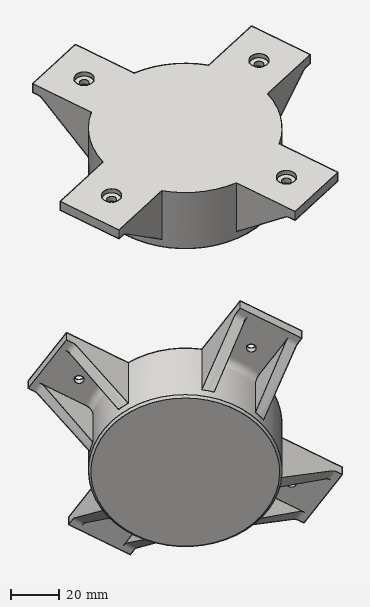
import cadquery as cq
import math

overall_span = 134.2
body_radius = 40.0
body_height = 32.0
bottom_chamfer = 1.0
arm_width = 30.0
plate_thickness = 5.0
rib_thickness = 5.0
rib_height = 27.1
rib_end_inset = 4.0
root_fillet = 3.2
hole_offset = 51.7
hole_diameter = 4.0
counterbore_diameter = 8.3
counterbore_depth = 2.3
arm_count = 4

arm_end = overall_span / 2
half_arm = arm_width / 2
half_gap = half_arm - rib_thickness
plate_bottom = body_height - plate_thickness
rib_foot = body_height - rib_height
rib_tip = arm_end - rib_end_inset
overlap_start = body_radius / 2


def make_body():
    """Round solid hub with a chamfered bottom edge."""
    return cq.Workplane("XY").circle(body_radius).extrude(body_height).faces("<Z").chamfer(bottom_chamfer)


def make_plate():
    """Flat arm pointing along +X, flush with the top of the hub."""
    return (
        cq.Workplane("XY", origin=(0, 0, plate_bottom))
        .center((overlap_start + arm_end) / 2, 0)
        .rect(arm_end - overlap_start, arm_width)
        .extrude(plate_thickness)
    )


def rib_profile(y):
    """Rib section at distance y from the arm axis, sloping from the hub wall and blending into the plate."""
    root = math.sqrt(body_radius**2 - y**2)
    slope = math.atan2(plate_bottom - rib_foot, rib_tip - root)
    blend_length = root_fillet * math.tan(slope / 2)
    blend_end = rib_tip + blend_length
    arc_center_z = plate_bottom - root_fillet

    blend_start_point = cq.Vector(
        rib_tip - blend_length * math.cos(slope), y, plate_bottom - blend_length * math.sin(slope)
    )
    blend_middle_point = cq.Vector(
        blend_end - root_fillet * math.sin(slope / 2), y, arc_center_z + root_fillet * math.cos(slope / 2)
    )
    blend_end_point = cq.Vector(blend_end, y, plate_bottom)
    inner_top = cq.Vector(overlap_start, y, plate_bottom)
    inner_foot = cq.Vector(overlap_start, y, rib_foot)
    outer_foot = cq.Vector(root, y, rib_foot)
    return cq.Wire.assembleEdges([
        cq.Edge.makeLine(inner_top, inner_foot),
        cq.Edge.makeLine(inner_foot, outer_foot),
        cq.Edge.makeLine(outer_foot, blend_start_point),
        cq.Edge.makeThreePointArc(blend_start_point, blend_middle_point, blend_end_point),
        cq.Edge.makeLine(blend_end_point, inner_top),
    ])


def make_rib():
    """Rib under the +Y side of the arm, with a slightly twisted sloping face."""
    return cq.Solid.makeLoft([rib_profile(half_gap), rib_profile(half_arm)], True)


def make_root_fillet():
    """Concave fillet between the hub wall and the plate, filling the gap between the ribs."""
    ring_start = body_radius - root_fillet
    fillet_end = body_radius + root_fillet
    fillet_bottom = plate_bottom - root_fillet
    arc_reach = root_fillet * (1 - math.sqrt(0.5))
    ring = (
        cq.Workplane("XZ")
        .moveTo(ring_start, plate_bottom)
        .lineTo(ring_start, fillet_bottom)
        .lineTo(body_radius, fillet_bottom)
        .threePointArc((body_radius + arc_reach, plate_bottom - arc_reach), (fillet_end, plate_bottom))
        .close()
        .revolve(360, (0, 0), (0, 1))
    )
    gap = (
        cq.Workplane("XY", origin=(0, 0, fillet_bottom))
        .center(arm_end / 2, 0)
        .rect(arm_end, 2 * half_gap)
        .extrude(root_fillet)
    )
    return ring.intersect(gap)


def make_arm():
    """Complete arm: plate, its two ribs and the fillet between them."""
    rib = cq.Workplane("XY").add(make_rib())
    return make_plate().union(rib).union(rib.mirror("XZ")).union(make_root_fillet())


arm = make_arm()
result = make_body()
for index in range(arm_count):
    result = result.union(arm.rotate((0, 0, 0), (0, 0, 1), index * 360 / arm_count))

result = (
    result.faces(">Z")
    .workplane(origin=(0, 0, body_height))
    .polarArray(hole_offset, 0, 360, arm_count)
    .cboreHole(hole_diameter, counterbore_diameter, counterbore_depth)
)